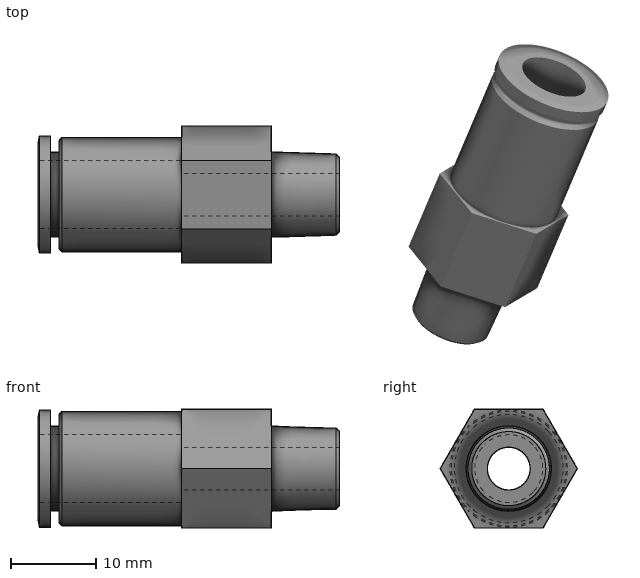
import cadquery as cq
import math

length = 35.5
inlet_face = -length / 2
outlet_face = length / 2
collar_end = inlet_face + 1.5
body_start = inlet_face + 2.5
hex_start = inlet_face + 16.9
hex_length = 10.58
hex_end = hex_start + hex_length

collar_diameter = 13.8
collar_face_diameter = 11.85
collar_bevel_depth = 0.18
neck_diameter = 10.0

body_diameter = 13.5
body_chamfer = 0.35

hex_across_flats = 14.0
hex_across_corners = hex_across_flats / math.cos(math.pi / 6)

taper_ratio = 1 / 16
taper_base_diameter = 10.05
taper_chamfer = 0.43

socket_diameter = 8.0
bore_diameter = 5.0


def cylinder(diameter, start, end):
    return cq.Workplane("YZ", origin=(start, 0, 0)).circle(diameter / 2).extrude(end - start)


def make_collar():
    """Disc with a shallow conical bevel around its front face."""
    radius = collar_diameter / 2
    face_radius = collar_face_diameter / 2
    return (
        cq.Workplane("XY")
        .moveTo(inlet_face, 0)
        .lineTo(inlet_face, face_radius)
        .lineTo(inlet_face + collar_bevel_depth, radius)
        .lineTo(collar_end, radius)
        .lineTo(collar_end, 0)
        .close()
        .revolve(360, (0, 0, 0), (1, 0, 0))
    )


def make_body():
    return cylinder(body_diameter, body_start, hex_start).faces("<X").chamfer(body_chamfer)


def make_hexagon():
    return (
        cq.Workplane("YZ", origin=(hex_start, 0, 0))
        .polygon(6, hex_across_corners)
        .extrude(hex_length)
    )


def make_tapered_end():
    """Cone narrowing toward the outlet, with a chamfered tip."""
    base_radius = taper_base_diameter / 2
    chamfer_start = outlet_face - taper_chamfer
    end_radius = base_radius - (chamfer_start - hex_end) * taper_ratio / 2
    return (
        cq.Workplane("XY")
        .moveTo(hex_end, 0)
        .lineTo(hex_end, base_radius)
        .lineTo(chamfer_start, end_radius)
        .lineTo(outlet_face, end_radius - taper_chamfer)
        .lineTo(outlet_face, 0)
        .close()
        .revolve(360, (0, 0, 0), (1, 0, 0))
    )


neck = cylinder(neck_diameter, collar_end, body_start)
socket = cylinder(socket_diameter, inlet_face, hex_start)
through_bore = cylinder(bore_diameter, inlet_face, outlet_face)

result = (
    make_collar()
    .union(neck)
    .union(make_body())
    .union(make_hexagon())
    .union(make_tapered_end())
    .cut(socket)
    .cut(through_bore)
)